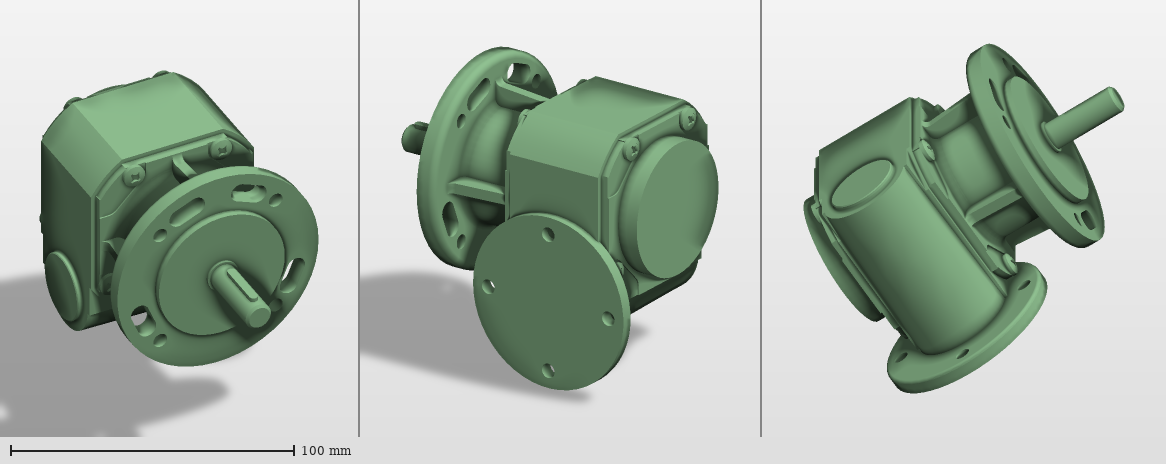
import cadquery as cq
import math


block_half = 32.5
block_half_length = 19.1
corner_radius = 38.2
core_half_length = 17.9

barrel_z = -30.9
barrel_front_radius = 16.7
barrel_rear_radius = 18.0
cap_radius = 12.7
cap_height = 2.0
cap_fillet = 0.7
cap_chamfer = 0.4
disc_radius = 65.0 / 2
disc_front = 30.7
disc_back = 35.9
disc_fillet = 1.2
disc_bolt_radius = 26.0
bolt_hole_diameter = 5.5

cover_half = 30.6
cover_flat_half = 20.3
cover_corner_radius = 36.0
cover_outer = 22.5
recess_depth = 0.6
seat_start = 12.3
seat_diagonal = 26.5
seat_fillet = 4.7

screw_places = [(17.3, 26.9), (-17.3, 26.9), (26.8, -17.4), (-26.8, -17.4)]
screw_radius = 4.1
screw_rim = 1.5
screw_dome = 1.1
cross_length = 4.7
cross_width = 1.0
cross_fillet = 1.8
cross_depth = 1.3

boss_radius = 25.0
boss_outer = 30.6
tube_radius = 22.2
tube_cover_fillet = 2.7
tube_flange_fillet = 2.5
flange_radius = 80.0 / 2
flange_start = 46.8
flange_end = 54.0
flange_fillet = 2.5
flange_bolt_radius = 32.5
pilot_end = 57.0

rib_width = 3.9
rib_cover_height = 27.7
rib_flange_height = 29.9
rib_flange_root = 33.2
rib_cover_fillet = 2.4
rib_flange_fillet = 2.4
rib_root = 1.2

slot_radius = 32.0
slot_width = 7.1
slot_straight = 7.6
slot_angle = 22.5
slot_directions = [90 - slot_angle, 90 + slot_angle, 180 + slot_angle, -slot_angle]

collar_radius = 6.0
collar_end = 58.1
shaft_radius = 10.1 / 2
overall_length = 118.5
shaft_end = overall_length - disc_radius
shaft_chamfer = 1.0
key_start = 62.9
key_end = 82.8
key_width = 3.1
key_top = 6.5


def along_x(x):
    """Workplane facing +X at the given X, with local axes Y and Z."""
    return cq.Workplane("YZ", origin=(x, 0, 0))


def along_y(y):
    """Workplane facing +Y at the given Y, centred on the barrel axis."""
    return cq.Workplane(cq.Plane((0, y, barrel_z), (1, 0, 0), (0, 1, 0)))


def rod(start, end, radius):
    return along_x(start).circle(radius).extrude(end - start)


def make_block():
    length = 2 * block_half_length
    block = along_x(-block_half_length).rect(2 * block_half, 2 * block_half).extrude(length)
    rounded = block.intersect(rod(-block_half_length, block_half_length, corner_radius))
    core = (
        cq.Workplane("XY", origin=(0, 0, -block_half))
        .rect(2 * core_half_length, 2 * block_half)
        .extrude(block_half)
    )
    rear_corner = (
        cq.Workplane("XY", origin=(0, block_half / 2, -block_half))
        .rect(length, block_half)
        .extrude(block_half)
    )
    return rounded.union(core).union(rear_corner)


def make_barrel():
    return (
        along_y(-block_half)
        .circle(barrel_front_radius)
        .workplane(offset=block_half + disc_front)
        .circle(barrel_rear_radius)
        .loft()
    )


def make_cap():
    flare_radius = cap_radius + cap_fillet
    flare_start = -block_half
    cap_end = flare_start - cap_height
    return (
        cq.Workplane("XY")
        .moveTo(0, flare_start)
        .lineTo(flare_radius, flare_start)
        .radiusArc((cap_radius, flare_start - cap_fillet), -cap_fillet)
        .lineTo(cap_radius, cap_end + cap_chamfer)
        .lineTo(cap_radius - cap_chamfer, cap_end)
        .lineTo(0, cap_end)
        .close()
        .revolve(360, (0, 0, 0), (0, 1, 0))
        .translate((0, 0, barrel_z))
    )


def make_disc():
    disc = along_y(disc_front).circle(disc_radius).extrude(disc_back - disc_front)
    disc = disc.faces("<Y").edges().fillet(disc_fillet)
    holes = (
        along_y(disc_front)
        .polarArray(disc_bolt_radius, 0, 360, 4)
        .circle(bolt_hole_diameter / 2)
        .extrude(disc_back - disc_front)
    )
    return disc.cut(holes)


def make_cover_plate():
    """Square plate with its corners rounded about the shaft axis, set back by a radial step."""
    thickness = cover_outer - block_half_length
    square = along_x(block_half_length).rect(2 * cover_half, 2 * cover_half).extrude(thickness)
    sector = (
        along_x(block_half_length)
        .polyline([
            (0, 0),
            (2 * cover_half, 2 * cover_flat_half),
            (2 * cover_half, 2 * cover_half),
            (2 * cover_flat_half, 2 * cover_half),
        ])
        .close()
        .extrude(thickness)
    )
    corner = sector.cut(rod(block_half_length, cover_outer, cover_corner_radius))
    for quarter in range(4):
        square = square.cut(corner.rotate((0, 0, 0), (1, 0, 0), 90 * quarter))
    return square


def make_corner_seat():
    """Cutter for the screw seat in the +Y +Z corner of the +X cover."""
    slant_end = seat_diagonal * math.sqrt(2) - seat_start
    outside = cover_corner_radius
    inside_cover = (slant_end + outside) / 2
    slant_ends = cq.selectors.BoxSelector((0, 0, 0), (cover_outer, inside_cover, inside_cover))
    return (
        along_x(cover_outer - recess_depth)
        .polyline([
            (seat_start, slant_end),
            (slant_end, seat_start),
            (outside, seat_start),
            (outside, outside),
            (seat_start, outside),
        ])
        .close()
        .extrude(recess_depth)
        .edges("|X")
        .edges(slant_ends)
        .fillet(seat_fillet)
    )


def make_screw():
    """Screw head standing on X = 0, with its cross recess turned 45 degrees."""
    height = screw_rim + screw_dome
    head = (
        cq.Workplane("XY")
        .lineTo(0, screw_radius)
        .lineTo(screw_rim, screw_radius)
        .radiusArc((height, 0), (screw_radius**2 + screw_dome**2) / (2 * screw_dome))
        .close()
        .revolve(360, (0, 0, 0), (1, 0, 0))
    )
    arm = along_x(height - cross_depth).rect(cross_length, cross_width).extrude(cross_depth)
    cross = arm.union(arm.rotate((0, 0, 0), (1, 0, 0), 90))
    inner_reach = cross_width
    inner_corners = cq.selectors.BoxSelector(
        (0, -inner_reach, -inner_reach), (height, inner_reach, inner_reach)
    )
    cross = cross.edges("|X").edges(inner_corners).fillet(cross_fillet)
    return head.cut(cross.rotate((0, 0, 0), (1, 0, 0), 45))


def make_cover():
    """Cover on the +X end, with its four screws."""
    cover = make_cover_plate()
    seat = make_corner_seat()
    for quarter in range(4):
        cover = cover.cut(seat.rotate((0, 0, 0), (1, 0, 0), 90 * quarter))
    screw = make_screw()
    for y, z in screw_places:
        cover = cover.union(screw.translate((cover_outer - recess_depth, y, z)))
    return cover


def make_tube():
    cover_foot_radius = tube_radius + tube_cover_fillet
    flange_foot_radius = tube_radius + tube_flange_fillet
    return (
        cq.Workplane("XY")
        .moveTo(cover_outer, 0)
        .lineTo(cover_outer, cover_foot_radius)
        .radiusArc((cover_outer + tube_cover_fillet, tube_radius), -tube_cover_fillet)
        .lineTo(flange_start - tube_flange_fillet, tube_radius)
        .radiusArc((flange_start, flange_foot_radius), -tube_flange_fillet)
        .lineTo(flange_start, 0)
        .close()
        .revolve(360, (0, 0, 0), (1, 0, 0))
    )


def make_rib():
    """Rib on the +Z side of the tube, blended into the cover and the flange."""
    rib = (
        cq.Workplane("XZ")
        .polyline([
            (cover_outer - rib_root, 0),
            (cover_outer - rib_root, cover_half),
            (cover_outer, cover_half),
            (cover_outer, rib_cover_height),
            (flange_start, rib_flange_height),
            (flange_start, rib_flange_root),
            (flange_start + rib_root, rib_flange_root),
            (flange_start + rib_root, 0),
        ])
        .close()
        .extrude(rib_width / 2, both=True)
    )
    cover_foot = cq.selectors.NearestToPointSelector((cover_outer, 0, rib_cover_height))
    flange_foot = cq.selectors.NearestToPointSelector((flange_start, 0, rib_flange_height))
    rib = rib.edges("|Y").edges(cover_foot).fillet(rib_cover_fillet)
    return rib.edges("|Y").edges(flange_foot).fillet(rib_flange_fillet)


def make_flange():
    thickness = flange_end - flange_start
    flange = rod(flange_start, flange_end, flange_radius)
    flange = flange.faces("<X").edges().fillet(flange_fillet)
    holes = (
        along_x(flange_start)
        .polarArray(flange_bolt_radius, 45, 360, 4)
        .circle(bolt_hole_diameter / 2)
        .extrude(thickness)
    )
    flange = flange.cut(holes)
    slot = (
        along_x(flange_start)
        .center(slot_radius, 0)
        .slot2D(slot_straight + slot_width, slot_width, 90)
        .extrude(thickness)
    )
    for angle in slot_directions:
        flange = flange.cut(slot.rotate((0, 0, 0), (1, 0, 0), angle))
    return flange.union(rod(flange_end, pilot_end, boss_radius))


def make_shaft():
    shaft = rod(pilot_end, shaft_end, shaft_radius).faces(">X").chamfer(shaft_chamfer)
    collar = rod(pilot_end, collar_end, collar_radius)
    key = (
        cq.Workplane("XY")
        .center((key_start + key_end) / 2, 0)
        .slot2D(key_end - key_start, key_width)
        .extrude(key_top)
    )
    return shaft.union(collar).union(key)


cover = make_cover()
rib = make_rib()

result = make_block().union(make_barrel()).union(make_cap()).union(make_disc())
result = result.union(cover).union(cover.mirror("YZ"))
result = result.union(rod(-boss_outer, -block_half_length, boss_radius))
result = result.union(make_tube()).union(make_flange()).union(make_shaft())
for quarter in range(4):
    result = result.union(rib.rotate((0, 0, 0), (1, 0, 0), 90 * quarter))